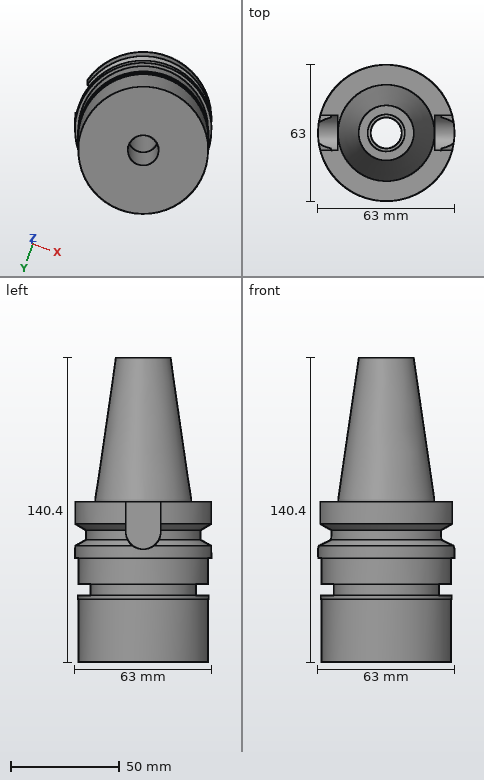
import cadquery as cq

total_height = 140.4
nut_height = 30.7
collar_bottom_z = 29.0
neck_top_z = 36.0
flange_bottom_z = 48.0
flange_top_z = 74.0
taper_base_z = 75.0

flange_diameter = 63.0
groove_diameter = 53.1
body_diameter = 60.0
collar_diameter = 60.7
neck_diameter = 48.7
taper_base_diameter = 44.5
taper_tip_diameter = 25.4

groove_lower_edge_z = 53.6
groove_floor_bottom_z = 56.5
groove_floor_top_z = 60.8
groove_upper_edge_z = 63.7

slot_width = 16.1
slot_bottom_z = 52.1
slot_floor_x = 22.5

bore_diameter = 14.2
tip_bore_diameter = 17.1
tip_bore_depth = 8.7


def revolve_profile(outline):
    """Turn a list of (radius, z) points about the Z axis."""
    return cq.Workplane("XZ").polyline(outline).close().revolve(360, (0, 0), (0, 1))


def make_drive_slot(side):
    """Cutter open at the flange top, with a round lower end; side is +1 or -1 along X."""
    radius = slot_width / 2
    arc_center_z = slot_bottom_z + radius
    return (
        cq.Workplane("YZ", origin=(side * slot_floor_x, 0, 0))
        .moveTo(-radius, flange_top_z)
        .lineTo(-radius, arc_center_z)
        .threePointArc((0, slot_bottom_z), (radius, arc_center_z))
        .lineTo(radius, flange_top_z)
        .close()
        .extrude(side * (flange_diameter / 2))
    )


def make_holder():
    """Tool holder: taper, grooved flange, short body and neck, bored through."""
    bore_radius = bore_diameter / 2
    tip_bore_radius = tip_bore_diameter / 2
    tip_bore_floor_z = total_height - tip_bore_depth
    holder = revolve_profile([
        (bore_radius, nut_height),
        (neck_diameter / 2, nut_height),
        (neck_diameter / 2, neck_top_z),
        (body_diameter / 2, neck_top_z),
        (body_diameter / 2, flange_bottom_z),
        (flange_diameter / 2, flange_bottom_z),
        (flange_diameter / 2, groove_lower_edge_z),
        (groove_diameter / 2, groove_floor_bottom_z),
        (groove_diameter / 2, groove_floor_top_z),
        (flange_diameter / 2, groove_upper_edge_z),
        (flange_diameter / 2, flange_top_z),
        (taper_base_diameter / 2, flange_top_z),
        (taper_base_diameter / 2, taper_base_z),
        (taper_tip_diameter / 2, total_height),
        (tip_bore_radius, total_height),
        (tip_bore_radius, tip_bore_floor_z),
        (bore_radius, tip_bore_floor_z),
    ])
    for side in (-1, 1):
        holder = holder.cut(make_drive_slot(side))
    return holder


def make_nut():
    """Clamping nut below the neck, with a thin collar at its top edge."""
    bore_radius = bore_diameter / 2
    return revolve_profile([
        (bore_radius, 0),
        (body_diameter / 2, 0),
        (body_diameter / 2, collar_bottom_z),
        (collar_diameter / 2, collar_bottom_z),
        (collar_diameter / 2, nut_height),
        (bore_radius, nut_height),
    ])


holder = make_holder()
nut = make_nut()
result = cq.Compound.makeCompound([holder.val(), nut.val()])